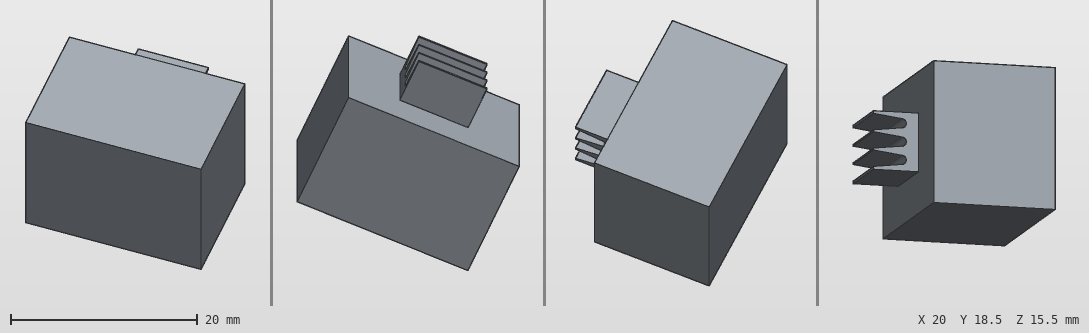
import cadquery as cq
import math

body_width = 20.0
body_depth = 13.5
body_height = 15.5

fin_block_width = 8.0
fin_block_height = 6.4
fin_block_length = 5.0

gap_count = 3
gap_pitch = 2.0
gap_mouth = 1.8
gap_depth = 3.65
gap_bottom_radius = 0.5

back_face_y = body_depth / 2
fin_tip_y = back_face_y + fin_block_length


def make_gap(center_z):
    """Gap running along X, with straight sides tangent to its round bottom."""
    half_mouth = gap_mouth / 2
    arc_center_depth = gap_depth - gap_bottom_radius
    taper = (
        math.acos(gap_bottom_radius / math.hypot(half_mouth, arc_center_depth))
        - math.atan2(arc_center_depth, half_mouth)
    )
    tangent_y = fin_tip_y - arc_center_depth - gap_bottom_radius * math.sin(taper)
    tangent_half_height = gap_bottom_radius * math.cos(taper)
    return (
        cq.Workplane("YZ")
        .moveTo(fin_tip_y, center_z + half_mouth)
        .lineTo(tangent_y, center_z + tangent_half_height)
        .threePointArc(
            (fin_tip_y - gap_depth, center_z),
            (tangent_y, center_z - tangent_half_height),
        )
        .lineTo(fin_tip_y, center_z - half_mouth)
        .close()
        .extrude(fin_block_width / 2, both=True)
    )


def make_fin_block():
    """Block behind the body with evenly spaced gaps leaving horizontal fins."""
    block = cq.Workplane("XY").box(fin_block_width, fin_block_length, fin_block_height)
    block = block.translate((0, back_face_y + fin_block_length / 2, 0))
    for index in range(gap_count):
        center_z = (index - (gap_count - 1) / 2) * gap_pitch
        block = block.cut(make_gap(center_z))
    return block


body = cq.Workplane("XY").box(body_width, body_depth, body_height)
result = body.union(make_fin_block())